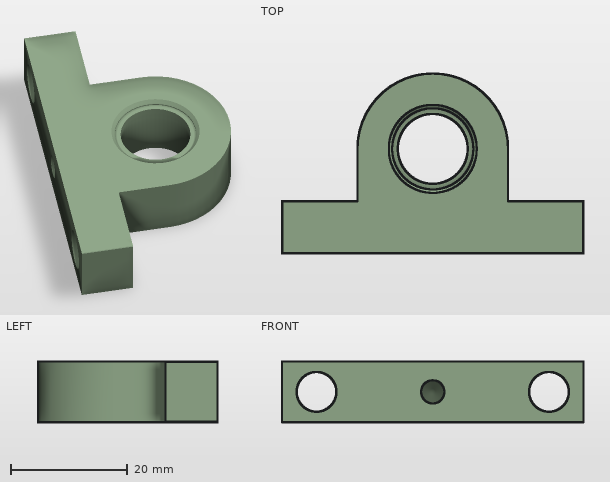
import cadquery as cq
import math

foot_length = 52.0
foot_depth = 9.0
thickness = 10.5

eye_radius = 13.0
eye_center_y = 18.0

bore_diameter = 12.0
seat_diameter = 14.0
seat_depth = 0.8
mouth_diameter = 15.2
lead_in = (mouth_diameter - seat_diameter) / 2
lead_in_angle = 45.0

mount_diameter = 6.8
mount_spacing = 40.05
blind_diameter = 4.0
blind_depth = 6.75
blind_tip_angle = 118.0

end_break = 0.1

top_z = thickness / 2


def make_body():
    foot = cq.Workplane("XY").box(foot_length, foot_depth, thickness).translate((0, foot_depth / 2, 0))
    web = (
        cq.Workplane("XY")
        .box(2 * eye_radius, eye_center_y, thickness)
        .translate((0, eye_center_y / 2, 0))
    )
    eye = (
        cq.Workplane("XY", origin=(0, eye_center_y, -top_z))
        .circle(eye_radius)
        .extrude(thickness)
    )
    foot = foot.faces("<X or >X").edges("|Y").chamfer(end_break)
    return foot.union(web).union(eye)


def bore_cutter():
    """Through bore, flat-bottomed seat and conical mouth of the eye."""
    bore = cq.Workplane("XY", origin=(0, eye_center_y, -top_z)).circle(bore_diameter / 2).extrude(thickness)
    top_face = cq.Workplane("XY", origin=(0, eye_center_y, top_z))
    seat = top_face.circle(seat_diameter / 2).extrude(-seat_depth)
    mouth = top_face.circle(mouth_diameter / 2).extrude(-lead_in, taper=lead_in_angle)
    return bore.union(seat).union(mouth)


def mounting_holes_cutter():
    """Two holes running through the foot from front to back."""
    return (
        cq.Workplane("XZ")
        .pushPoints([(-mount_spacing / 2, 0), (mount_spacing / 2, 0)])
        .circle(mount_diameter / 2)
        .extrude(-foot_depth)
    )


def blind_hole_cutter():
    """Drilled hole in the middle of the front face, ending in a drill cone."""
    radius = blind_diameter / 2
    tip_length = radius / math.tan(math.radians(blind_tip_angle / 2))
    return (
        cq.Workplane("XY")
        .polyline([(0, 0), (radius, 0), (radius, blind_depth), (0, blind_depth + tip_length)])
        .close()
        .revolve(360, (0, 0, 0), (0, 1, 0))
    )


result = make_body().cut(bore_cutter()).cut(mounting_holes_cutter()).cut(blind_hole_cutter())